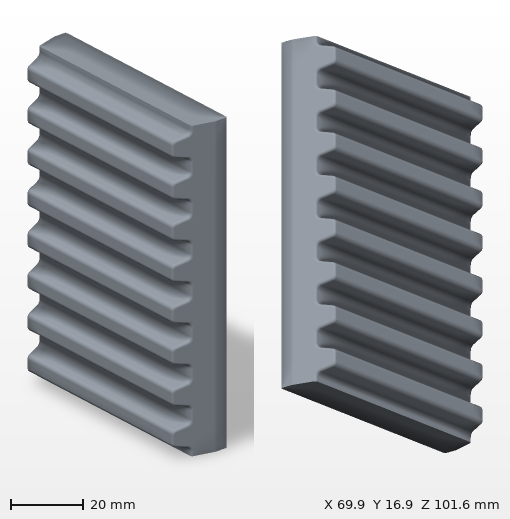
import cadquery as cq
import math

length = 101.6
width = 69.9
thickness = 16.9

rib_count = 8
rib_height = 5.6
rib_tip_width = 4.9
flank_angle = 14.0
rib_radius = 1.3

straight_side = 4.2
side_angle = 15.0
back_edge_radius = 0.5
side_bend_radius = 3.0
side_edge_radius = 0.8

selection_margin = 0.5

pitch = length / rib_count
half_length = length / 2
half_width = width / 2
back_y = thickness / 2
tip_y = -back_y
floor_y = tip_y + rib_height
bend_y = back_y - straight_side
half_tip = rib_tip_width / 2
half_root = half_tip + rib_height * math.tan(math.radians(flank_angle))
tip_half_width = half_width - (bend_y - tip_y) * math.tan(math.radians(side_angle))


def ribbed_block():
    """Full-width block with rounded ribs along its -Y side."""
    outline = [(back_y, -half_length), (floor_y, -half_length)]
    for index in range(rib_count):
        rib_z = (index + 0.5) * pitch - half_length
        outline += [
            (floor_y, rib_z - half_root),
            (tip_y, rib_z - half_tip),
            (tip_y, rib_z + half_tip),
            (floor_y, rib_z + half_root),
        ]
    outline += [(floor_y, half_length), (back_y, half_length)]
    block = cq.Workplane("YZ").polyline(outline).close().extrude(half_width, both=True)

    inner_z = half_length - selection_margin
    rib_zone = cq.selectors.BoxSelector(
        (-width, -thickness, -inner_z), (width, thickness, inner_z)
    )
    return block.edges("|X").edges(rib_zone).fillet(rib_radius)


def side_envelope():
    """Prism along Z whose sides lean inwards towards the ribs."""
    outline = [
        (-half_width, back_y),
        (-half_width, bend_y),
        (-tip_half_width, tip_y),
        (tip_half_width, tip_y),
        (half_width, bend_y),
        (half_width, back_y),
    ]
    prism = cq.Workplane("XY").polyline(outline).close().extrude(half_length, both=True)
    prism = prism.edges("|Z and >Y").fillet(back_edge_radius)
    return prism.edges("|Z and (<X or >X)").edges("<Y").fillet(side_bend_radius)


def round_side_edges(body):
    """Round the edge where each leaning side meets the ribs and grooves."""
    for side in (-1, 1):
        side_zone = cq.selectors.BoxSelector(
            (side * half_width / 2, tip_y - selection_margin, -half_length),
            (side * half_width, floor_y + selection_margin, half_length),
        )
        body = body.edges(side_zone).fillet(side_edge_radius)
    return body


result = round_side_edges(ribbed_block().intersect(side_envelope()))